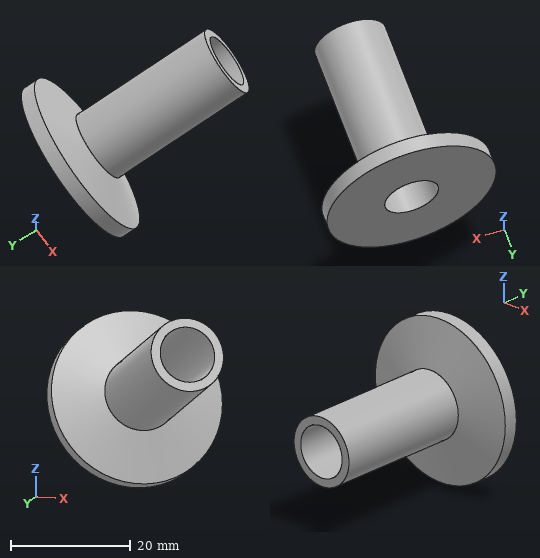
import cadquery as cq
import math

total_length = 31.75
flange_diameter = 29.97
tube_diameter = 12.7
bore_diameter = 9.52
rim_thickness = 2.75
cone_angle = 15.0

flange_radius = flange_diameter / 2
tube_radius = tube_diameter / 2
bore_radius = bore_diameter / 2

rim_back = total_length - rim_thickness
cone_depth = (flange_radius - tube_radius) * math.tan(math.radians(cone_angle))
cone_start = rim_back - cone_depth

half_section = [
    (bore_radius, 0),
    (tube_radius, 0),
    (tube_radius, cone_start),
    (flange_radius, rim_back),
    (flange_radius, total_length),
    (bore_radius, total_length),
]

result = (
    cq.Workplane("XY")
    .polyline(half_section)
    .close()
    .revolve(360, (0, 0, 0), (0, 1, 0))
)